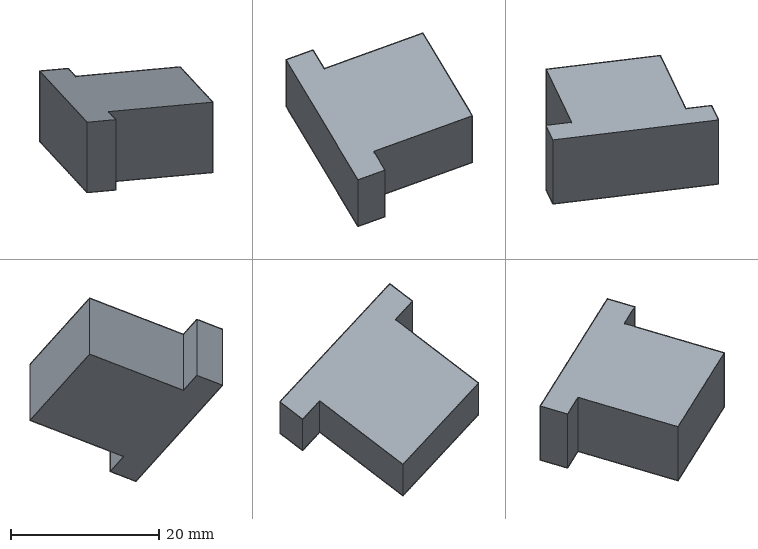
import cadquery as cq

flange_width = 23.0
total_depth = 18.7
height = 10.0
flange_depth = 4.02
body_width = 15.85

flange = cq.Workplane("XY").box(flange_width, flange_depth, height, centered=(True, False, True))

body = cq.Workplane("XY").box(body_width, total_depth, height, centered=(True, False, True))

result = flange.union(body)